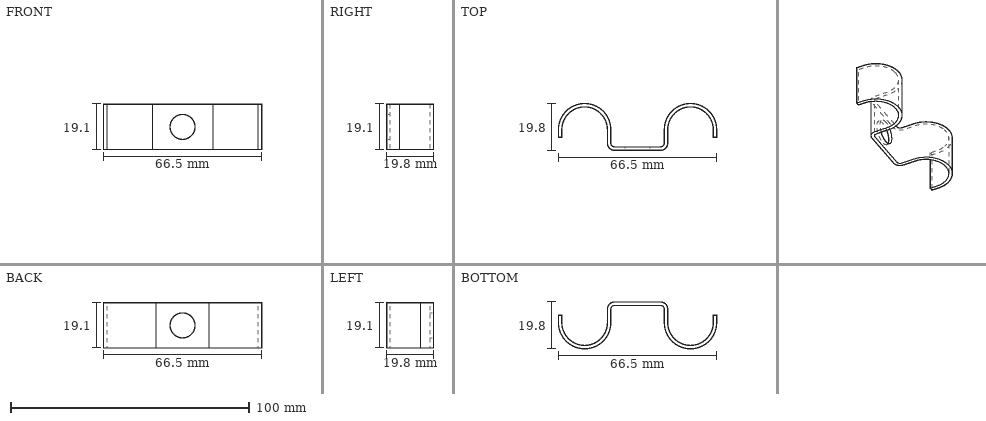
import cadquery as cq

thickness = 1.524
width = 19.05
pipe_radius = 9.525
saddle_spacing = 44.45
leg_length = 3.175
web_depth = 8.711
bend_outer_radius = 3.048
hole_diameter = 10.414

saddle_radius = pipe_radius + thickness
saddle_x = saddle_spacing / 2
web_half_length = saddle_x - pipe_radius
bend_inner_radius = bend_outer_radius - thickness


def saddle(side):
    """Half ring around one pipe, with its outer lip; side is -1 or +1."""
    ring = (
        cq.Workplane("XY")
        .center(side * saddle_x, 0)
        .moveTo(-saddle_radius, 0)
        .threePointArc((0, saddle_radius), (saddle_radius, 0))
        .lineTo(pipe_radius, 0)
        .threePointArc((0, pipe_radius), (-pipe_radius, 0))
        .close()
        .extrude(width)
    )
    lip_x = side * (saddle_x + pipe_radius + thickness / 2)
    lip = (
        cq.Workplane("XY")
        .center(lip_x, -leg_length / 2)
        .rect(thickness, leg_length)
        .extrude(width)
    )
    return ring.union(lip)


def web_block(half_length, depth, corner_radius):
    """Block below the saddle centres with its two lower corners rounded."""
    return (
        cq.Workplane("XY")
        .center(0, -depth / 2)
        .rect(2 * half_length, depth)
        .extrude(width)
        .edges("|Z and <Y")
        .fillet(corner_radius)
    )


def web():
    """U-shaped channel joining the saddles, with the screw hole through its base."""
    outer = web_block(web_half_length, web_depth, bend_outer_radius)
    inner = web_block(web_half_length - thickness, web_depth - thickness, bend_inner_radius)
    hole = (
        cq.Workplane("XZ", origin=(0, 0, width / 2))
        .circle(hole_diameter / 2)
        .extrude(web_depth)
    )
    return outer.cut(inner).cut(hole)


result = web().union(saddle(-1)).union(saddle(1)).clean()